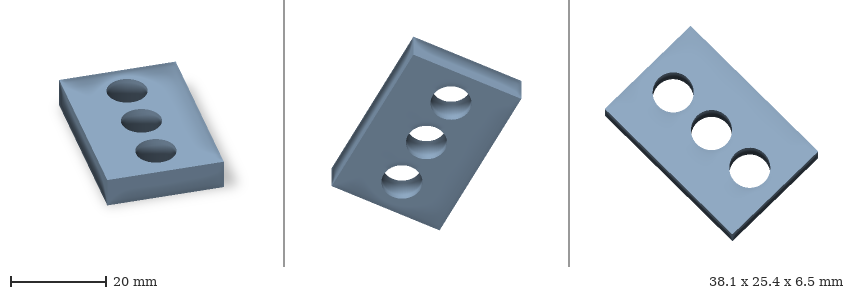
import cadquery as cq

length = 38.1
width = 25.4
thickness = 6.5

hole_diameter = 8.64
hole_count = 3
hole_spacing = 11.43


def make_plate():
    """Rectangular plate centred in X and Y, resting on Z = 0."""
    return cq.Workplane("XY").box(length, width, thickness, centered=(True, True, False))


def drill_hole_row(plate):
    """Drill the evenly spaced row of holes through the full thickness."""
    return (
        plate.faces(">Z")
        .workplane(origin=(0, 0, thickness))
        .rarray(hole_spacing, 1, hole_count, 1)
        .hole(hole_diameter)
    )


result = drill_hole_row(make_plate())